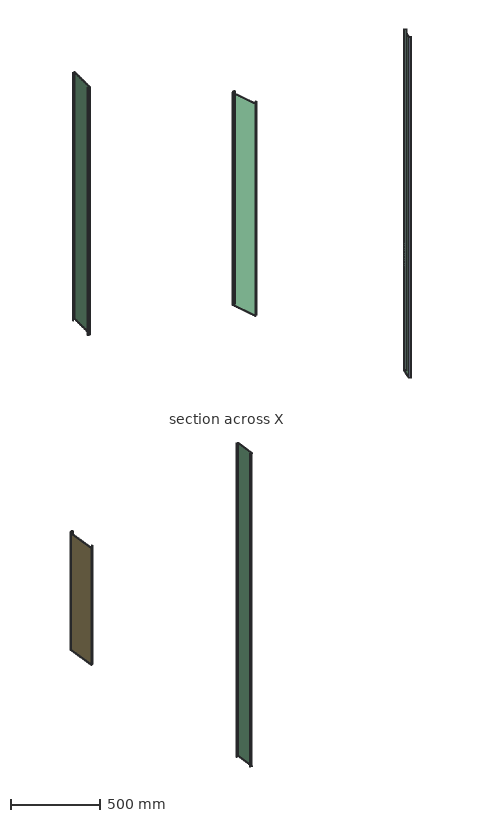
import cadquery as cq

length = 2000.0
width = 150.0
depth = 15.5
sheet = 2.0

lip_width = 8.0

web_fillet = 5.0
lip_bend = 5.0

half_width = width / 2
back = depth / 2
front = -depth / 2
inner_wall = half_width - sheet
web_face = back - sheet
lip_face = front + sheet
lip_end = half_width - lip_width


def half_strip():
    """Right half of the strip, from the mid-plane to the lip, centred along Z."""
    return (
        cq.Workplane("XY")
        .workplane(offset=-length / 2)
        .moveTo(0, back)
        .lineTo(half_width, back)
        .lineTo(half_width, front + lip_bend)
        .radiusArc((half_width - lip_bend, front), lip_bend)
        .lineTo(lip_end, front)
        .lineTo(lip_end, lip_face)
        .lineTo(half_width - lip_bend, lip_face)
        .radiusArc((inner_wall, front + lip_bend), -(lip_bend - sheet))
        .lineTo(inner_wall, web_face - web_fillet)
        .radiusArc((inner_wall - web_fillet, web_face), -web_fillet)
        .lineTo(0, web_face)
        .close()
        .extrude(length)
    )


right_half = half_strip()
result = right_half.union(right_half.mirror("YZ")).clean()